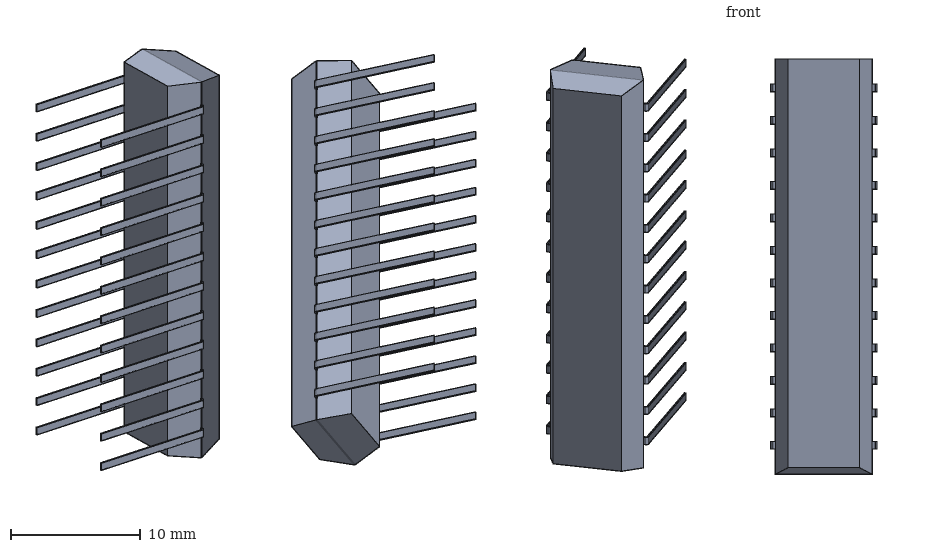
import cadquery as cq

leads_per_row = 12
row_span = 8.22
overall_depth = 12.5
lead_thickness = 0.13
lead_width = 0.6
bend_inner_radius = 0.05
end_margin = 2.25
lead_embed = 0.32

body_length = 32.0
band_width = 7.5
face_width = 5.5
half_depth = 2.45
end_taper = 0.5
band_depth = 0.1

lead_tip_y = half_depth - overall_depth
lead_pitch = (body_length - 2 * end_margin) / (leads_per_row - 1)


def body_half(start_y, face_y, top_taper):
    """Loft from the band at start_y to the narrower outer face at face_y."""
    face_length = body_length - end_taper - top_taper
    face_middle_z = (end_taper - top_taper) / 2
    return (
        cq.Workplane("XZ", origin=(0, start_y, 0))
        .rect(band_width, body_length)
        .workplane(offset=start_y - face_y)
        .center(0, face_middle_z)
        .rect(face_width, face_length)
        .loft(ruled=True)
    )


def make_body():
    """Band with the back half tapered at both ends and a lead side square at the top."""
    band = cq.Workplane("XZ").rect(band_width, body_length).extrude(band_depth)
    back_half = body_half(0, half_depth, top_taper=end_taper)
    lead_side_half = body_half(-band_depth, -band_depth - half_depth, top_taper=0)
    return band.union(back_half).union(lead_side_half)


def make_lead(middle_z):
    """Lead on the +X side: a stub out of the body, a rounded bend and a long leg."""
    outer_x = row_span / 2
    inner_x = outer_x - lead_thickness
    root_x = band_width / 2 - lead_embed
    bend_outer_radius = bend_inner_radius + lead_thickness
    bend_x = outer_x - bend_outer_radius
    bend_y = -bend_outer_radius
    return (
        cq.Workplane("XY", origin=(0, 0, middle_z - lead_width / 2))
        .moveTo(root_x, 0)
        .lineTo(bend_x, 0)
        .radiusArc((outer_x, bend_y), bend_outer_radius)
        .lineTo(outer_x, lead_tip_y)
        .lineTo(inner_x, lead_tip_y)
        .lineTo(inner_x, bend_y)
        .radiusArc((bend_x, -lead_thickness), -bend_inner_radius)
        .lineTo(root_x, -lead_thickness)
        .close()
        .extrude(lead_width)
    )


result = make_body()
first_lead_z = end_margin - body_length / 2
for index in range(leads_per_row):
    right_lead = make_lead(first_lead_z + index * lead_pitch)
    left_lead = right_lead.mirror("YZ")
    result = result.union(right_lead).union(left_lead)